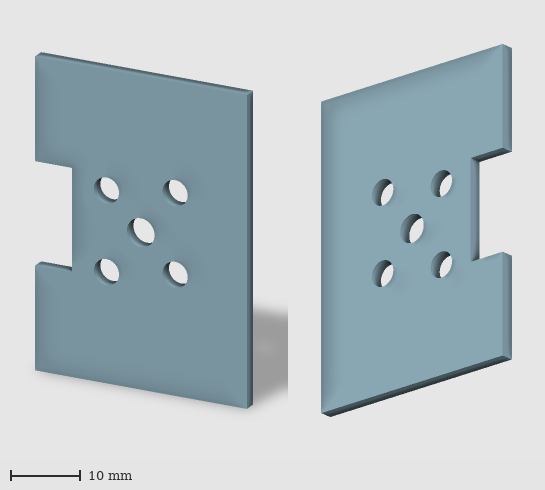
import cadquery as cq

plate_width = 34.0
plate_thickness = 2.0
plate_height = 48.0

notch_depth = 6.0
notch_height = plate_height / 3

center_hole_diameter = 4.4
outer_hole_diameter = 4.0
hole_offset_x = 5.5
near_offset_z = 5.5
far_offset_z = 7.0

outer_hole_points = [
    (-hole_offset_x, near_offset_z),
    (-hole_offset_x, -far_offset_z),
    (hole_offset_x, far_offset_z),
    (hole_offset_x, -near_offset_z),
]


def make_plate():
    return cq.Workplane("XY").box(plate_width, plate_thickness, plate_height)


def make_notch():
    notch_center_x = (notch_depth - plate_width) / 2
    notch = cq.Workplane("XY").box(notch_depth, plate_thickness, notch_height)
    return notch.translate((notch_center_x, 0, 0))


def make_through_holes(points, diameter):
    sketch = cq.Workplane("XZ").pushPoints(points).circle(diameter / 2)
    return sketch.extrude(plate_thickness / 2, both=True)


result = (
    make_plate()
    .cut(make_notch())
    .cut(make_through_holes([(0, 0)], center_hole_diameter))
    .cut(make_through_holes(outer_hole_points, outer_hole_diameter))
)